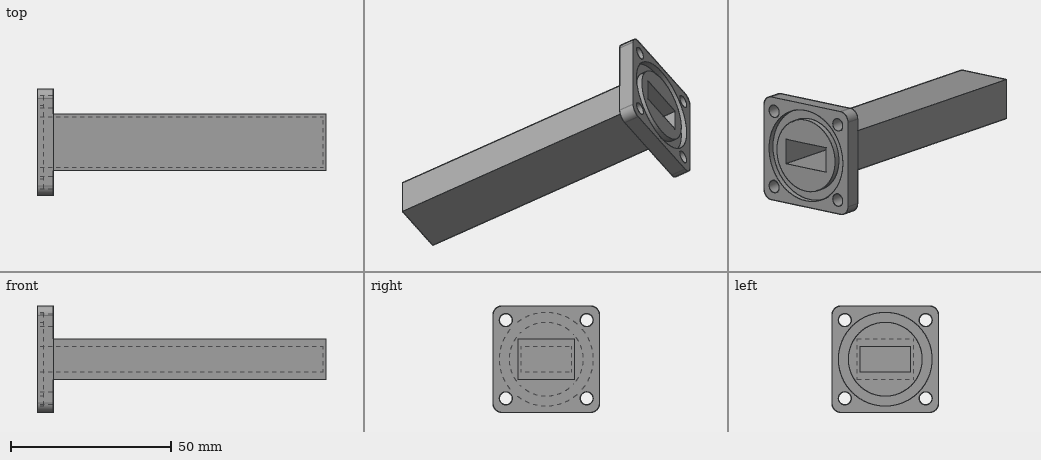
import cadquery as cq

total_length = 90.0
flange_side = 33.3
flange_thickness = 4.95
flange_corner_radius = 3.0

tube_width = 17.7
tube_height = 12.7
bore_width = 15.8
bore_height = 7.9
end_wall = 1.0

groove_outer_diameter = 29.25
groove_inner_diameter = 23.0
groove_depth = 2.0

bolt_diameter = 4.0
bolt_spacing_y = 25.2
bolt_spacing_z = 24.4


def face_plane(x):
    """Plane at X = x, with local axes along Y and Z and its normal along +X."""
    return cq.Workplane("YZ", origin=(x, 0, 0))


def make_flange():
    plate = face_plane(0).rect(flange_side, flange_side).extrude(flange_thickness)
    plate = plate.edges("|X").fillet(flange_corner_radius)
    bolt_holes = (
        face_plane(0)
        .rect(bolt_spacing_y, bolt_spacing_z, forConstruction=True)
        .vertices()
        .circle(bolt_diameter / 2)
        .extrude(flange_thickness)
    )
    return plate.cut(bolt_holes)


def make_tube():
    return face_plane(0).rect(tube_width, tube_height).extrude(total_length)


def make_groove():
    return (
        face_plane(0)
        .circle(groove_outer_diameter / 2)
        .circle(groove_inner_diameter / 2)
        .extrude(groove_depth)
    )


def make_bore():
    return face_plane(0).rect(bore_width, bore_height).extrude(total_length - end_wall)


result = make_flange().union(make_tube()).cut(make_groove()).cut(make_bore())